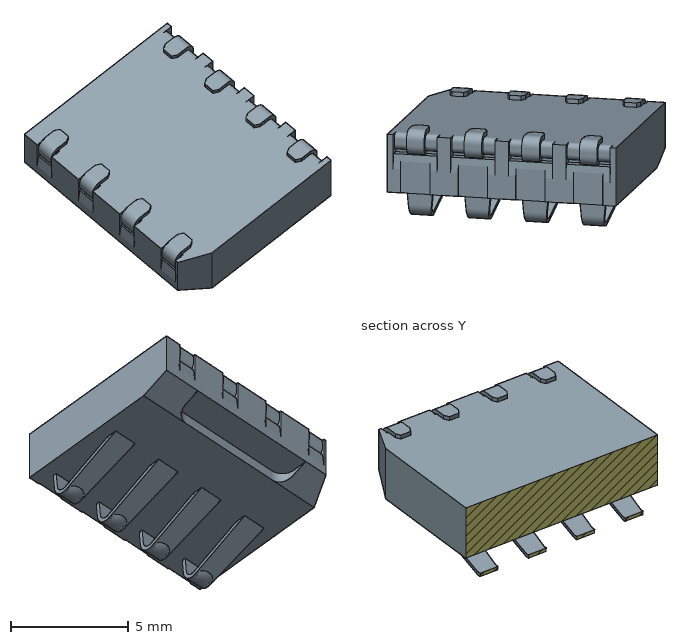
import cadquery as cq
import math

LENGTH = 10.08
WIDTH = 8.48
BODY_HEIGHT = 2.55

TAPER_DEPTH = 1.41
TAPER_HEIGHT = 0.53
CORNER_X = 0.65
CORNER_Y = TAPER_DEPTH

RECESS_WIDTH = 6.37
RECESS_RADIUS = 0.64

CONTACT_COUNT = 4
PITCH = 2.54
CLIP_WIDTH = 0.78
CLIP_THICKNESS = 0.19
CLIP_SETBACK = 0.02
CLIP_RADIUS = 0.44
CLIP_FLAT = 0.23
CLIP_REACH = 1.18
TIP_CUT_X = 0.13
TIP_CUT_Y = 0.23

FRONT_SLOT_WIDTH = 0.89
REAR_SLOT_WIDTH = 1.95
SLOT_BOTTOM = 1.04
SLOT_LIP_Z = 1.69
RAMP_DEPTH = 0.08
RELIEF_WIDTH = 1.29
RELIEF_DEPTH = 0.04

LEAF_THICKNESS = 0.18
LEAF_DROP = 1.22
LEAF_INSET = 0.8
LEAF_RADIUS = 0.5
LEAF_ANGLE = math.radians(20.5)
LEAF_TOP_WIDTH = 1.15
LEAF_TIP_WIDTH = 0.92
LEAF_EMBED = 0.05

CROWN_DROP = 1.24
CROWN_RADIUS = 0.6
CROWN_EDGE_RADIUS = 0.54
CROWN_WIDTH = 0.81
CROWN_ROOT_RADIUS = 0.5
CROWN_HEIGHT = 0.3

FRONT_Y = -WIDTH / 2
REAR_Y = WIDTH / 2
CLIP_TOP = BODY_HEIGHT + CLIP_THICKNESS
CLIP_INNER_RADIUS = CLIP_RADIUS - CLIP_THICKNESS
BEND_DEPTH = CLIP_SETBACK + CLIP_RADIUS
NOSE_DEPTH = CLIP_SETBACK + CLIP_THICKNESS
UPPER_BEND_Z = CLIP_TOP - CLIP_RADIUS
LOWER_BEND_Z = UPPER_BEND_Z - CLIP_FLAT
CLIP_BOTTOM = LOWER_BEND_Z - CLIP_RADIUS
HALF_ARC = math.sqrt(0.5)
CONTACT_XS = [(i - (CONTACT_COUNT - 1) / 2) * PITCH for i in range(CONTACT_COUNT)]


def body_block():
    right = LENGTH / 2
    block = (
        cq.Workplane("XY")
        .moveTo(-right, FRONT_Y)
        .lineTo(right - CORNER_X, FRONT_Y)
        .lineTo(right, FRONT_Y + CORNER_Y)
        .lineTo(right, REAR_Y)
        .lineTo(-right, REAR_Y)
        .close()
        .extrude(BODY_HEIGHT)
    )
    taper = (
        cq.Workplane("YZ")
        .moveTo(FRONT_Y, 0)
        .lineTo(FRONT_Y + TAPER_DEPTH, 0)
        .lineTo(FRONT_Y, TAPER_HEIGHT)
        .close()
        .extrude(LENGTH / 2, both=True)
    )
    recess = (
        cq.Workplane("XY")
        .center(0, FRONT_Y)
        .rect(RECESS_WIDTH, 2 * TAPER_DEPTH)
        .extrude(TAPER_HEIGHT)
        .edges("|Z and >Y")
        .fillet(RECESS_RADIUS)
    )
    return block.cut(taper).cut(recess)


def add_inner_bends(outline):
    """Follow the rounded nose that the clip wraps, from its underside to its top."""
    offset = CLIP_INNER_RADIUS * HALF_ARC
    return (
        outline
        .threePointArc((BEND_DEPTH - offset, LOWER_BEND_Z - offset), (NOSE_DEPTH, LOWER_BEND_Z))
        .lineTo(NOSE_DEPTH, UPPER_BEND_Z)
        .threePointArc((BEND_DEPTH - offset, UPPER_BEND_Z + offset), (BEND_DEPTH, BODY_HEIGHT))
    )


def front_slot_cutter(slot_width):
    """Slot at x = 0 in the front face, with a leaning lower wall and a rounded nose above it."""
    outline = (
        cq.Workplane("YZ", origin=(0, FRONT_Y, 0))
        .moveTo(0, SLOT_BOTTOM)
        .lineTo(RAMP_DEPTH, SLOT_LIP_Z)
        .lineTo(BEND_DEPTH, SLOT_LIP_Z)
        .lineTo(BEND_DEPTH, CLIP_BOTTOM + CLIP_THICKNESS)
    )
    outline = add_inner_bends(outline).lineTo(0, BODY_HEIGHT).close()
    return outline.extrude(slot_width / 2, both=True)


def front_clip():
    """Strip at x = 0 that leaves the body, bends up the front face and folds over the top."""
    offset = CLIP_RADIUS * HALF_ARC
    outline = (
        cq.Workplane("YZ", origin=(0, FRONT_Y, 0))
        .moveTo(BEND_DEPTH, CLIP_BOTTOM + CLIP_THICKNESS)
    )
    outline = (
        add_inner_bends(outline)
        .lineTo(CLIP_REACH, BODY_HEIGHT)
        .lineTo(CLIP_REACH, CLIP_TOP)
        .lineTo(BEND_DEPTH, CLIP_TOP)
        .threePointArc((BEND_DEPTH - offset, UPPER_BEND_Z + offset), (CLIP_SETBACK, UPPER_BEND_Z))
        .lineTo(CLIP_SETBACK, LOWER_BEND_Z)
        .threePointArc((BEND_DEPTH - offset, LOWER_BEND_Z - offset), (BEND_DEPTH, CLIP_BOTTOM))
        .close()
    )
    strip = outline.extrude(CLIP_WIDTH / 2, both=True)
    half = CLIP_WIDTH / 2
    tip_y = FRONT_Y + CLIP_REACH
    plan = (
        cq.Workplane("XY")
        .moveTo(-half, FRONT_Y)
        .lineTo(half, FRONT_Y)
        .lineTo(half, tip_y - TIP_CUT_Y)
        .lineTo(half - TIP_CUT_X, tip_y)
        .lineTo(TIP_CUT_X - half, tip_y)
        .lineTo(-half, tip_y - TIP_CUT_Y)
        .close()
        .extrude(CLIP_TOP)
    )
    return strip.intersect(plan)


def leaf():
    """Spring strip at x = 0: upright leg near the rear, rounded tip, long arm rising to the front."""
    bend_y = REAR_Y - LEAF_INSET - LEAF_RADIUS
    bend_z = LEAF_RADIUS - LEAF_DROP
    inner_radius = LEAF_RADIUS - LEAF_THICKNESS
    arm_slope = math.tan(LEAF_ANGLE)
    mid_angle = (LEAF_ANGLE - math.pi / 2) / 2

    def on_bend(radius, angle):
        """Point on the bend; the angle is zero at the lowest point and grows toward the front."""
        return (bend_y - radius * math.sin(angle), bend_z - radius * math.cos(angle))

    def arm_end(radius):
        start_y, start_z = on_bend(radius, LEAF_ANGLE)
        return (start_y - (LEAF_EMBED - start_z) / arm_slope, LEAF_EMBED)

    side = (
        cq.Workplane("YZ")
        .moveTo(bend_y + LEAF_RADIUS, LEAF_EMBED)
        .lineTo(bend_y + LEAF_RADIUS, bend_z)
        .threePointArc(on_bend(LEAF_RADIUS, mid_angle), on_bend(LEAF_RADIUS, LEAF_ANGLE))
        .lineTo(*arm_end(LEAF_RADIUS))
        .lineTo(*arm_end(inner_radius))
        .lineTo(*on_bend(inner_radius, LEAF_ANGLE))
        .threePointArc(on_bend(inner_radius, mid_angle), (bend_y + inner_radius, bend_z))
        .lineTo(bend_y + inner_radius, LEAF_EMBED)
        .close()
        .extrude(LEAF_TOP_WIDTH / 2, both=True)
    )
    top = LEAF_TOP_WIDTH / 2
    tip = LEAF_TIP_WIDTH / 2
    front = (
        cq.Workplane("XZ")
        .moveTo(-top, LEAF_EMBED)
        .lineTo(-top, 0)
        .lineTo(-tip, -LEAF_DROP)
        .lineTo(tip, -LEAF_DROP)
        .lineTo(top, 0)
        .lineTo(top, LEAF_EMBED)
        .close()
        .extrude(WIDTH / 2, both=True)
    )
    return side.intersect(front)


def leaf_crown():
    """Lower part of a barrel-shaped ring at x = 0, level with the leaf's upright leg."""
    half = CROWN_WIDTH / 2
    ring = (
        cq.Workplane("XY")
        .moveTo(-half, CROWN_ROOT_RADIUS)
        .lineTo(half, CROWN_ROOT_RADIUS)
        .lineTo(half, CROWN_EDGE_RADIUS)
        .threePointArc((0, CROWN_RADIUS), (-half, CROWN_EDGE_RADIUS))
        .close()
        .revolve(360, (0, 0), (1, 0))
        .translate((0, REAR_Y - LEAF_INSET - CROWN_RADIUS, CROWN_RADIUS - CROWN_DROP))
    )
    kept = (
        cq.Workplane("XY", origin=(0, 0, -CROWN_DROP))
        .rect(LENGTH, WIDTH)
        .extrude(CROWN_HEIGHT)
    )
    return ring.intersect(kept)


def rear_relief():
    """Shallow channel at x = 0 in the rear face, from the underside up into the rear slot."""
    return (
        cq.Workplane("XY")
        .center(0, REAR_Y)
        .rect(RELIEF_WIDTH, 2 * RELIEF_DEPTH)
        .extrude(SLOT_LIP_Z)
    )


front_slot = front_slot_cutter(FRONT_SLOT_WIDTH)
rear_slot = front_slot_cutter(REAR_SLOT_WIDTH).mirror("XZ").union(rear_relief())
clip = front_clip()
rear_clip = clip.mirror("XZ")
spring = leaf().union(leaf_crown())

result = body_block()
for x in CONTACT_XS:
    for slot in (front_slot, rear_slot):
        result = result.cut(slot.translate((x, 0, 0)))
    for strip in (clip, rear_clip, spring):
        result = result.union(strip.translate((x, 0, 0)))